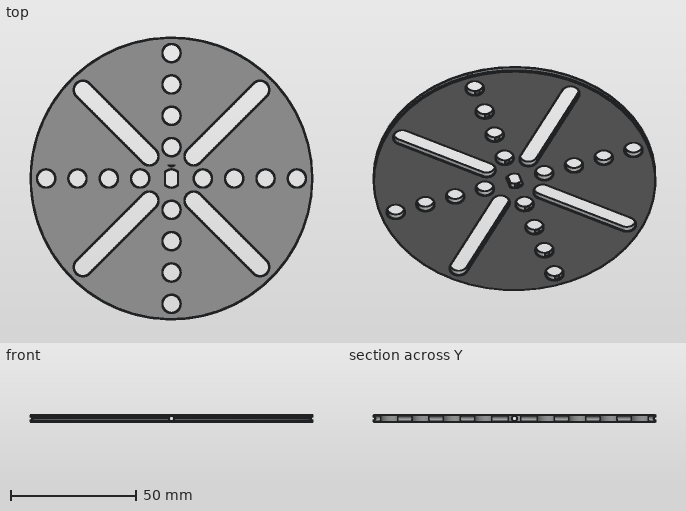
import cadquery as cq
import math

disc_diameter = 112.5
thickness = 3.2
edge_chamfer = 0.3

groove_width = 1.6
groove_depth = 1.0

hole_diameter = 7.0
hole_pitch = 12.5
holes_per_arm = 4
arm_angles = (0, 90, 180, 270)
slot_angles = (45, 135, 225, 315)

shaft_diameter = hole_diameter
shaft_flat_width = 5.0

bore_diameter = 2.0

mark_width = 2.7
mark_height = 0.7
mark_tip_y = 4.6
mark_depth = 0.3

disc_radius = disc_diameter / 2
top_z = thickness / 2
cutter_height = 2 * thickness
bore_length = 2 * disc_diameter
slot_inner_radius = hole_pitch
slot_outer_radius = hole_pitch * holes_per_arm


def polar_point(radius, angle):
    """Point at a radius and an angle in degrees from the disc centre."""
    turn = math.radians(angle)
    return (radius * math.cos(turn), radius * math.sin(turn))


def cutter_plane():
    """Workplane below the disc from which the through cutters rise."""
    return cq.Workplane("XY", origin=(0, 0, -cutter_height / 2))


def make_disc():
    """Disc centred on the XY plane, with chamfered rim edges and a V groove around the rim."""
    profile = [
        (0, -top_z),
        (disc_radius - edge_chamfer, -top_z),
        (disc_radius, -top_z + edge_chamfer),
        (disc_radius, -groove_width / 2),
        (disc_radius - groove_depth, 0),
        (disc_radius, groove_width / 2),
        (disc_radius, top_z - edge_chamfer),
        (disc_radius - edge_chamfer, top_z),
        (0, top_z),
    ]
    return cq.Workplane("XZ").polyline(profile).close().revolve(360, (0, 0, 0), (0, 1, 0))


def cut_arm_holes(body):
    """Rows of round through holes along the X and Y axes."""
    points = [
        polar_point(hole_pitch * step, angle)
        for angle in arm_angles
        for step in range(1, holes_per_arm + 1)
    ]
    holes = cutter_plane().pushPoints(points).circle(hole_diameter / 2).extrude(cutter_height)
    return body.cut(holes)


def cut_slots(body):
    """Diagonal through slots reaching from the first to the last hole radius."""
    length = slot_outer_radius - slot_inner_radius + hole_diameter
    middle_radius = (slot_inner_radius + slot_outer_radius) / 2
    for angle in slot_angles:
        slot = cutter_plane().center(*polar_point(middle_radius, angle))
        slot = slot.slot2D(length, hole_diameter, angle).extrude(cutter_height)
        body = body.cut(slot)
    return body


def cut_shaft_hole(body):
    """Round centre hole with two flats parallel to Y."""
    round_hole = cutter_plane().circle(shaft_diameter / 2).extrude(cutter_height)
    flats = cq.Workplane("XY").box(shaft_flat_width, shaft_diameter, cutter_height)
    return body.cut(round_hole.intersect(flats))


def chamfer_openings(body):
    """Chamfer every hole and slot on both faces of the disc."""
    edges = [
        edge
        for face in body.faces("<Z or >Z").vals()
        for wire in face.innerWires()
        for edge in wire.Edges()
    ]
    return body.newObject(edges).chamfer(edge_chamfer)


def cut_cross_bores(body):
    """Two round bores at mid-thickness through the whole disc, one along X and one along Y."""
    for axis in ((1, 0, 0), (0, 1, 0)):
        start = cq.Vector(axis) * (-bore_length / 2)
        plane = cq.Plane(origin=start, xDir=(0, 0, 1), normal=axis)
        bore = cq.Workplane(plane).circle(bore_diameter / 2).extrude(bore_length)
        body = body.cut(bore)
    return body


def cut_index_mark(body):
    """Shallow triangle in the top face, on the +Y side of the shaft hole."""
    base_y = mark_tip_y + mark_height
    corners = [(-mark_width / 2, base_y), (0, mark_tip_y), (mark_width / 2, base_y)]
    mark = cq.Workplane("XY", origin=(0, 0, top_z)).polyline(corners).close()
    return body.cut(mark.extrude(-mark_depth))


body = make_disc()
body = cut_arm_holes(body)
body = cut_slots(body)
body = cut_shaft_hole(body)
body = chamfer_openings(body)
body = cut_cross_bores(body)
result = cut_index_mark(body)